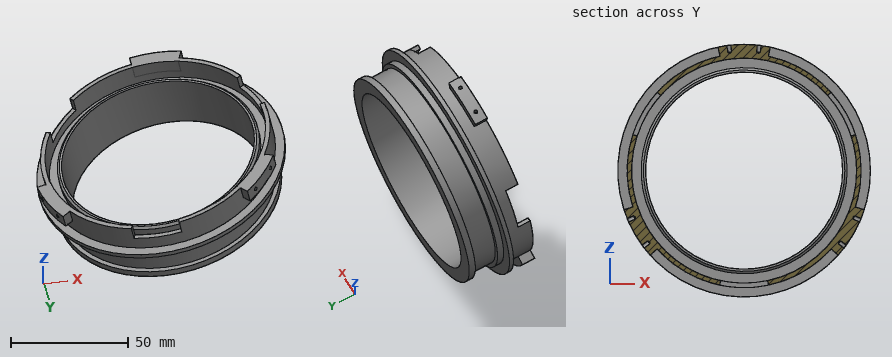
import cadquery as cq
import math


bore_radius = 42.0
lip_crest_radius = 43.0
lip_base_radius = 44.0
groove_radius = 47.0
recess_radius = 48.0
rim_radius = 49.0
collar_radius = 50.0
flange_radius = 54.0

rim_width = 3.0
groove_width = 11.0
flange_width = 2.0
collar_width = 12.0
recess_depth = 10.0
lip_height = 4.0
lip_bevel = 1.0

tab_count = 3
tab_width = 6.0
sector_angle = 24.0
first_tab_angle = 90.0
tab_spacing = 360.0 / tab_count
first_notch_angle = first_tab_angle + tab_spacing / 2

pin_hole_diameter = 1.5
pin_hole_depth = 3.0
drill_point_angle = 118.0
pin_hole_spacing = 13.0

groove_start = rim_width
groove_end = groove_start + groove_width
flange_back = groove_end + rim_width
flange_front = flange_back + flange_width
length = flange_front + collar_width
recess_floor = length - recess_depth
lip_crest = recess_floor + lip_height
lip_bevel_start = lip_crest - lip_bevel
tab_back = length - tab_width


def make_body():
    """Revolve the section of the grooved, flanged ring about Y."""
    section = [
        (bore_radius, 0),
        (rim_radius, 0),
        (rim_radius, -groove_start),
        (groove_radius, -groove_start),
        (groove_radius, -groove_end),
        (rim_radius, -groove_end),
        (rim_radius, -flange_back),
        (flange_radius, -flange_back),
        (flange_radius, -flange_front),
        (collar_radius, -flange_front),
        (collar_radius, -length),
        (recess_radius, -length),
        (recess_radius, -recess_floor),
        (lip_base_radius, -recess_floor),
        (lip_base_radius, -lip_bevel_start),
        (lip_crest_radius, -lip_crest),
        (bore_radius, -lip_crest),
    ]
    return cq.Workplane("XY").polyline(section).close().revolve(360, (0, 0), (0, 1))


def make_sector(inner_radius, outer_radius, center_angle):
    """Ring sector spanning the tab width at the front, centred on an angle from +X toward +Z."""
    half_angle = sector_angle / 2

    def at(radius, offset):
        angle = math.radians(center_angle + offset)
        return (radius * math.cos(angle), radius * math.sin(angle))

    return (
        cq.Workplane("XZ", origin=(0, -tab_back, 0))
        .moveTo(*at(inner_radius, -half_angle))
        .lineTo(*at(outer_radius, -half_angle))
        .threePointArc(at(outer_radius, 0), at(outer_radius, half_angle))
        .lineTo(*at(inner_radius, half_angle))
        .threePointArc(at(inner_radius, 0), at(inner_radius, -half_angle))
        .close()
        .extrude(tab_width)
    )


def make_pin_hole(tab_angle, side):
    """Radial blind hole with a drill-point bottom in the outer face of a tab, on one side of its centre."""
    offset = math.asin(pin_hole_spacing / 2 / flange_radius)
    angle = math.radians(tab_angle) + side * offset
    outward = cq.Vector(math.cos(angle), 0, math.sin(angle))
    mid_tab = cq.Vector(0, -(tab_back + tab_width / 2), 0)
    shoulder = mid_tab + outward * (flange_radius - pin_hole_depth)
    cutter_length = 2 * pin_hole_depth
    radius = pin_hole_diameter / 2
    tip_height = radius / math.tan(math.radians(drill_point_angle / 2))
    shank = cq.Workplane(cq.Solid.makeCylinder(radius, cutter_length, shoulder, outward))
    tip = cq.Solid.makeCone(radius, 0, tip_height, shoulder, -outward)
    return shank.union(cq.Workplane(tip))


result = make_body()

for index in range(tab_count):
    notch_angle = first_notch_angle + index * tab_spacing
    result = result.cut(make_sector(lip_base_radius, flange_radius, notch_angle))

for index in range(tab_count):
    tab_angle = first_tab_angle + index * tab_spacing
    result = result.union(make_sector(recess_radius, flange_radius, tab_angle))
    for side in (-1, 1):
        result = result.cut(make_pin_hole(tab_angle, side))